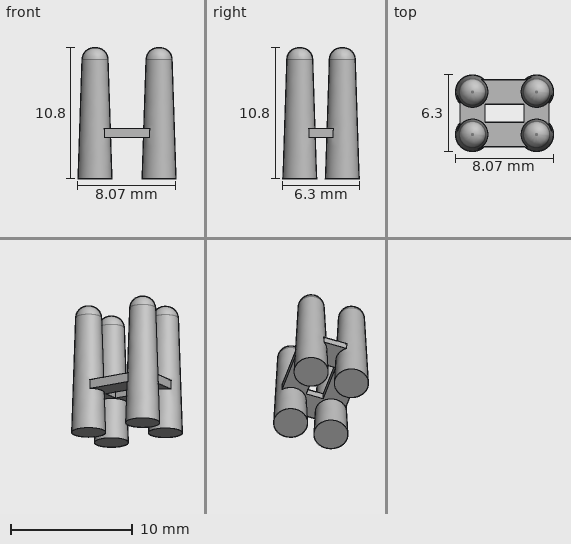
import cadquery as cq
import math

height = 10.8
spacing_x = 5.27
spacing_y = 3.5
base_radius = 1.4
top_radius = 1.05
tip_round = 1.0

frame_x = 7.33
frame_y = 5.53
frame_bottom = 3.4
frame_thickness = 0.76
window_x = 3.2
window_y = 1.46


def make_peg():
    """Tapered round peg whose tip is rounded, leaving a tiny flat."""
    taper = math.degrees(math.atan((base_radius - top_radius) / height))
    cone = cq.Workplane("XY").circle(base_radius).extrude(height, taper=taper)
    return cone.faces(">Z").edges().fillet(tip_round)


def make_frame():
    """Plate with a central window and its corners cut back to the peg centres."""
    level = cq.Workplane("XY").workplane(offset=frame_bottom)
    long_arm = level.rect(spacing_x, frame_y).extrude(frame_thickness)
    cross_arm = level.rect(frame_x, spacing_y).extrude(frame_thickness)
    window = level.rect(window_x, window_y).extrude(frame_thickness)
    return long_arm.union(cross_arm).cut(window)


result = make_frame()
peg = make_peg()
for side_x in (-1, 1):
    for side_y in (-1, 1):
        result = result.union(peg.translate((side_x * spacing_x / 2, side_y * spacing_y / 2, 0)))